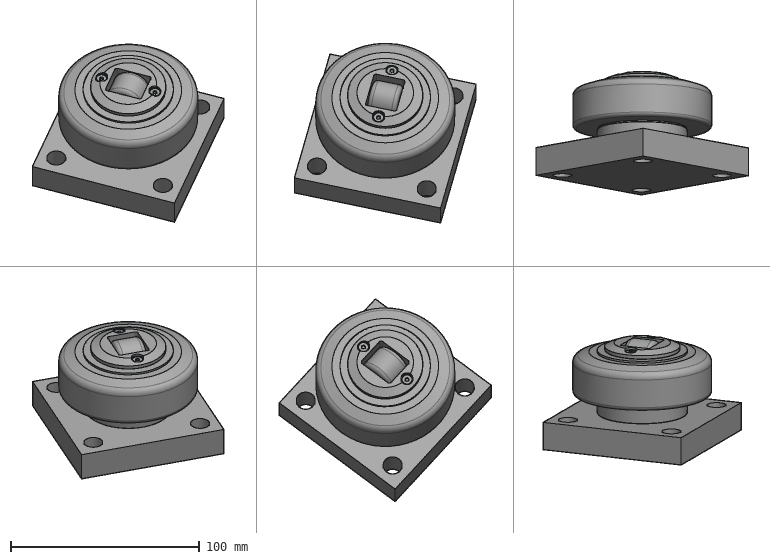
import cadquery as cq
import math

plate_side = 80.0
plate_height = 15.0
mount_hole_diameter = 10.1
mount_hole_pitch = 60.0

neck_diameter = 48.0
neck_top = 24.8
relief_diameter = 47.2

edge_chamfer = 0.2

roller_diameter = 73.9
roller_bottom = 25.5
roller_top = 48.4
roller_bottom_fillet = 1.9
roller_top_fillet = 4.0
roller_face_diameter = 56.6
bevel_angle = math.radians(18.5)

washer_top = 49.4
cap_diameter = 40.0
cap_top = 53.4
cap_face_diameter = 30.0
cap_edge_height = 51.5

pocket_length = 20.2
pocket_width = 17.0
pocket_corner_radius = 1.1

side_roller_diameter = 20.0
side_roller_length = 16.0
side_roller_fillet = 2.5
side_roller_top = 55.0
side_roller_axis_height = side_roller_top - side_roller_diameter / 2

screw_offset = 15.0
screw_recess_diameter = 6.5
screw_head_diameter = 5.4
screw_recess_depth = 1.1
screw_seat_taper = 0.2
socket_across_corners = 2.3
socket_depth = 1.0


def make_plate():
    return (
        cq.Workplane("XY")
        .rect(plate_side, plate_side)
        .extrude(plate_height)
        .rect(mount_hole_pitch, mount_hole_pitch, forConstruction=True)
        .vertices()
        .circle(mount_hole_diameter / 2)
        .cutThruAll()
    )


def make_turned_body():
    """Neck, main roller, washer and cap as one revolved profile."""
    outer = roller_diameter / 2
    neck = neck_diameter / 2
    relief = relief_diameter / 2
    cap = cap_diameter / 2
    roller_face = roller_face_diameter / 2

    arc_end_radius = outer - roller_top_fillet * (1 - math.sin(bevel_angle))
    arc_end_height = roller_top - (arc_end_radius - roller_face) * math.tan(bevel_angle)
    arc_start_height = arc_end_height - roller_top_fillet * math.cos(bevel_angle)

    profile = (
        cq.Workplane("XZ")
        .moveTo(0, plate_height)
        .lineTo(neck - edge_chamfer, plate_height)
        .lineTo(neck, plate_height + edge_chamfer)
        .lineTo(neck, neck_top - edge_chamfer)
        .lineTo(neck - edge_chamfer, neck_top)
        .lineTo(relief, neck_top)
        .lineTo(relief, roller_bottom)
        .lineTo(outer - roller_bottom_fillet, roller_bottom)
        .tangentArcPoint((outer, roller_bottom + roller_bottom_fillet), relative=False)
        .lineTo(outer, arc_start_height)
        .tangentArcPoint((arc_end_radius, arc_end_height), relative=False)
        .lineTo(roller_face, roller_top)
        .lineTo(neck, roller_top)
        .lineTo(neck, washer_top)
        .lineTo(cap - edge_chamfer, washer_top)
        .lineTo(cap, washer_top + edge_chamfer)
        .lineTo(cap, cap_edge_height)
        .lineTo(cap_face_diameter / 2, cap_top)
        .lineTo(0, cap_top)
        .close()
    )
    return profile.revolve(360, (0, 0), (0, 1))


def make_pocket():
    """Pocket volume, as deep as the axis of the side roller."""
    return (
        cq.Workplane("XY", origin=(0, 0, side_roller_axis_height))
        .rect(pocket_length, pocket_width)
        .extrude(side_roller_top - side_roller_axis_height)
        .edges("|Z")
        .fillet(pocket_corner_radius)
    )


def make_side_roller():
    return (
        cq.Workplane("XZ", origin=(0, side_roller_length / 2, side_roller_axis_height))
        .circle(side_roller_diameter / 2)
        .extrude(side_roller_length)
        .faces("<Y or >Y")
        .edges()
        .fillet(side_roller_fillet)
    )


def make_screw_recess(x):
    """Recess with a shallow tapered floor around the screw head, and a hexagon socket."""
    recess_floor = cap_top - screw_recess_depth
    recess = (
        cq.Workplane("XY", origin=(x, 0, recess_floor))
        .circle(screw_recess_diameter / 2)
        .extrude(screw_recess_depth)
    )
    seat = (
        cq.Workplane("XY", origin=(x, 0, recess_floor))
        .circle(screw_recess_diameter / 2)
        .workplane(offset=-screw_seat_taper)
        .circle(screw_head_diameter / 2)
        .loft()
    )
    socket = (
        cq.Workplane("XY", origin=(x, 0, recess_floor - screw_seat_taper))
        .polygon(6, socket_across_corners)
        .extrude(-socket_depth)
    )
    return recess.union(seat).union(socket)


result = make_plate().union(make_turned_body())
result = result.cut(make_pocket()).union(make_side_roller())
for screw_x in (-screw_offset, screw_offset):
    result = result.cut(make_screw_recess(screw_x))